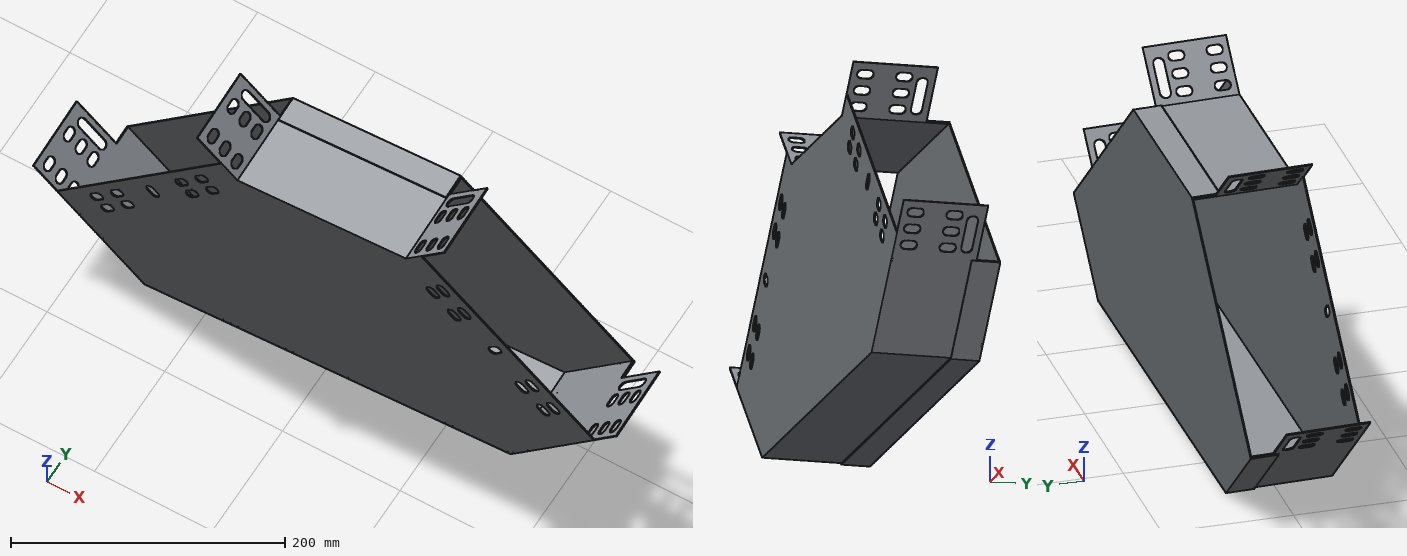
import cadquery as cq
import math


channel_width = 200.5
inner_length = 141.5
sheet = 1.0
wall_height = 80.5

arm_angle = 45
plate_end = 18.0
tab_overhang = 28.0
tab_end = plate_end + tab_overhang
cover_end = 0
tab_height = 64.0

tilt_x = -0.4
tilt_y = -1.65
tilt_z = 1.25

lip_depth = 21.5

slot_length = 12.5
slot_width = 7.5
tab_slot_insets = (10.0, 23.5, 37.5)
tab_slot_heights = (11.0, 40.5)
long_slot_length = 31.0
long_slot_width = 8.5
long_slot_inset = 25.0
long_slot_height = 54.5

floor_slot_rows = (11.5, 23.5)
floor_slot_offsets = (39.5, 64.0)
middle_slot_inset = 15.0

lengthwise = 0
crosswise = 90

arm_cos = math.cos(math.radians(arm_angle))
arm_sin = math.sin(math.radians(arm_angle))
half_bend_tan = math.tan(math.radians(arm_angle / 2))


def arm_point(along, across):
    """Point of the right arm: along it from the inner bend, and across from the inner wall."""
    x = inner_length / 2 + along * arm_cos + across * arm_sin
    z = along * arm_sin - across * arm_cos
    return x, z


def rail(across, end):
    """Points of a line parallel to the inner wall, from left arm end to right arm end.

    An arm that ends at or before its bend adds no point of its own.
    """
    bend = -across * half_bend_tan
    right = [arm_point(bend, across)]
    if end > bend:
        right.append(arm_point(end, across))
    left = [(-x, z) for x, z in reversed(right)]
    return left + right


def strip(near, far, end, bottom, top):
    """Solid between two parallel rails, from depth `bottom` to depth `top`."""
    outline = rail(near, end) + rail(far, end)[::-1]
    plane = cq.Workplane("XZ", origin=(0, bottom, 0))
    return plane.polyline(outline).close().extrude(bottom - top)


def side_slot(length, width, inset, height, angle):
    """Cutter through the inner and outer tabs of the right arm."""
    x, z = arm_point(tab_end - inset, channel_width + sheet)
    plane = cq.Plane(origin=(x, height, z), xDir=(arm_cos, 0, arm_sin), normal=(-arm_sin, 0, arm_cos))
    return cq.Workplane(plane).slot2D(length, width, angle).extrude(channel_width + 2 * sheet)


def floor_slot(inset, offset, angle):
    """Cutter through the floor of the right arm."""
    x, z = arm_point(plate_end - inset, channel_width / 2 + offset)
    plane = cq.Plane(origin=(x, 0, z), xDir=(arm_cos, 0, arm_sin), normal=(0, 1, 0))
    return cq.Workplane(plane).slot2D(slot_length, slot_width, angle).extrude(sheet)


def arm_slots():
    """All slot cutters of the right arm."""
    cutters = []
    cutters.append(
        side_slot(long_slot_length, long_slot_width, long_slot_inset, long_slot_height, lengthwise)
    )
    for inset in tab_slot_insets:
        for height in tab_slot_heights:
            cutters.append(side_slot(slot_length, slot_width, inset, height, crosswise))
    for inset in floor_slot_rows:
        for offset in floor_slot_offsets:
            for side in (-1, 1):
                cutters.append(floor_slot(inset, side * offset, crosswise))
    cutters.append(floor_slot(middle_slot_inset, 0, lengthwise))
    return cutters


def make_tray():
    """Floor plate and two side walls, which drop to tab height past the cover."""
    tray = strip(0, channel_width, plate_end, 0, sheet)
    for near in (0, channel_width - sheet):
        far = near + sheet
        tray = tray.union(strip(near, far, tab_end, 0, tab_height))
        tray = tray.union(strip(near, far, cover_end, 0, wall_height))
    for cutter in arm_slots():
        tray = tray.cut(cutter).cut(cutter.mirror("YZ"))
    return tray


def make_cover():
    """Flat sheet resting on the walls, with a lip down the outside of each wall."""
    cover_top = wall_height + sheet
    lip_bottom = cover_top - lip_depth
    cover = strip(-sheet, channel_width + sheet, cover_end, wall_height, cover_top)
    for near in (-sheet, channel_width):
        cover = cover.union(strip(near, near + sheet, cover_end, lip_bottom, cover_top))
    return cover


def tilted(body):
    """Turn a level body about X, then Y, then Z."""
    origin = (0, 0, 0)
    body = body.rotate(origin, (1, 0, 0), tilt_x)
    body = body.rotate(origin, (0, 1, 0), tilt_y)
    return body.rotate(origin, (0, 0, 1), tilt_z)


tray = tilted(make_tray())
cover = tilted(make_cover())

result = cq.Compound.makeCompound([tray.val(), cover.val()])